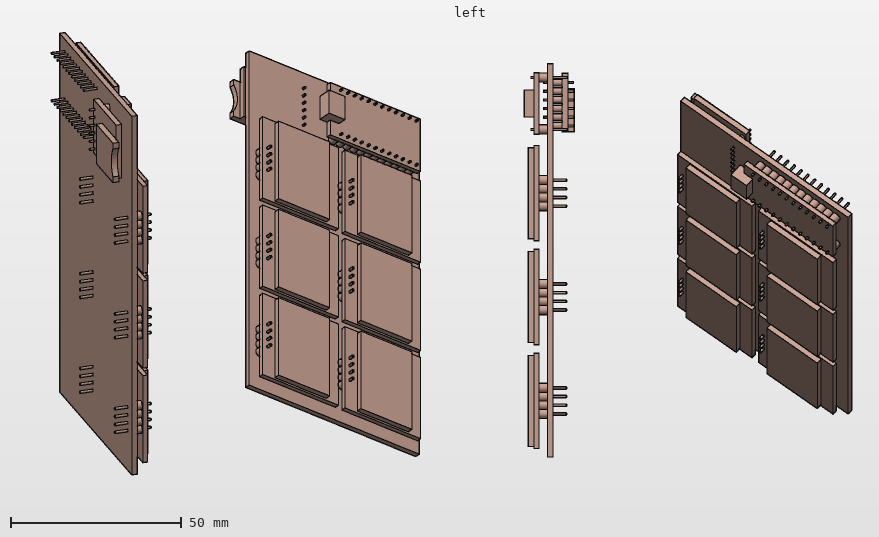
import cadquery as cq

BOARD_WIDTH = 63.0
BOARD_HEIGHT = 115.3
BOARD_THICKNESS = 1.7

PIN_PITCH = 2.5
HEADER_COLLAR_DIAMETER = 2.8
THIN_PIN_DIAMETER = 0.63

REAR_GAP = 2.4
MODULE_THICKNESS = 1.5
MODULE_FRONT = BOARD_THICKNESS + REAR_GAP
MODULE_BACK = MODULE_FRONT + MODULE_THICKNESS
REAR_PIN_REACH = 4.0

DISPLAY_COLUMNS = 2
DISPLAY_ROWS = 3
DISPLAY_PITCH = 12 * PIN_PITCH
DISPLAY_WIDTH = 28.0
DISPLAY_HEIGHT = 28.0
DISPLAY_LEFT = 2.5
DISPLAY_LOWEST_CENTRE = 16.5
GLASS_WIDTH = 18.9
GLASS_HEIGHT = 26.7
GLASS_THICKNESS = 1.7
DISPLAY_PIN_COUNT = 4
DISPLAY_PIN_DIAMETER = 0.8
DISPLAY_PIN_INSET = 1.8
DISPLAY_PIN_TAIL = 1.7
DISPLAY_PIN_CHAMFER = 0.2

CONTROLLER_LEFT = 2.7
CONTROLLER_WIDTH = 33.3
CONTROLLER_HEIGHT = 18.1
CONTROLLER_CENTRE_Z = 103.7
CONTROLLER_PIN_COUNT = 12
CONTROLLER_FIRST_PIN_X = 4.4
CONTROLLER_ROW_SPACING = 6 * PIN_PITCH
CONTROLLER_PIN_TAIL = 0.9
USB_LEFT = 32.7
USB_LENGTH = 5.9
USB_WIDTH = 8.0
USB_RISE = 2.9

READER_LEFT = 42.0
READER_WIDTH = 19.6
READER_BOTTOM = 95.4
READER_HEIGHT = 17.2
READER_THICKNESS = 1.7
READER_GAP = 2.7
READER_BACK = -READER_GAP
READER_FRONT = READER_BACK - READER_THICKNESS
READER_COLLAR_DIAMETER = 2.1
READER_PIN_COUNT = 6
READER_PIN_X = READER_LEFT + READER_COLLAR_DIAMETER / 2
READER_TOP_PIN_Z = 109.8
READER_PIN_TAIL = 1.6
READER_PIN_REACH = 1.0
SOCKET_LEFT = 49.6
SOCKET_RIGHT = 64.0
SOCKET_HEIGHT = 12.7
SOCKET_THICKNESS = 1.8
NOTCH_WIDTH = 9.0
NOTCH_DEPTH = 1.4


def slab(x_min, x_max, y_min, y_max, z_min, z_max):
    """Rectangular block between the given limits."""
    block = cq.Workplane("XY").box(x_max - x_min, y_max - y_min, z_max - z_min, centered=False)
    return block.translate((x_min, y_min, z_min))


def rods(points, diameter, y_min, y_max):
    """Separate round rods along Y, one at each (x, z) point."""
    return [
        cq.Workplane("XZ", origin=(x, y_min, z)).circle(diameter / 2).extrude(y_min - y_max)
        for x, z in points
    ]


def join(body, pieces):
    """Fuse every piece into the body."""
    for piece in pieces:
        body = body.union(piece)
    return body


def display_origins():
    """Left edge and centre height of every display."""
    return [
        (DISPLAY_LEFT + column * DISPLAY_PITCH, DISPLAY_LOWEST_CENTRE + row * DISPLAY_PITCH)
        for row in range(DISPLAY_ROWS)
        for column in range(DISPLAY_COLUMNS)
    ]


def display_pin_points(left, centre_z):
    """(x, z) of the four pins of one display, centred on its height."""
    pin_x = left + DISPLAY_WIDTH - DISPLAY_PIN_INSET
    middle = (DISPLAY_PIN_COUNT - 1) / 2
    return [(pin_x, centre_z + (i - middle) * PIN_PITCH) for i in range(DISPLAY_PIN_COUNT)]


def controller_pin_points():
    """(x, z) of the pins in the controller's lower and upper rows."""
    return [
        (CONTROLLER_FIRST_PIN_X + i * PIN_PITCH, CONTROLLER_CENTRE_Z + side * CONTROLLER_ROW_SPACING / 2)
        for side in (-1, 1)
        for i in range(CONTROLLER_PIN_COUNT)
    ]


def reader_pin_points():
    """(x, z) of the card reader's pins, from the top down."""
    return [(READER_PIN_X, READER_TOP_PIN_Z - i * PIN_PITCH) for i in range(READER_PIN_COUNT)]


def make_main_board():
    """Plain board with a hole for every pin that passes through it."""
    board = slab(0, BOARD_WIDTH, 0, BOARD_THICKNESS, 0, BOARD_HEIGHT)
    thin_points = controller_pin_points() + reader_pin_points()
    thick_points = [p for origin in display_origins() for p in display_pin_points(*origin)]
    for points, diameter in ((thin_points, THIN_PIN_DIAMETER), (thick_points, DISPLAY_PIN_DIAMETER)):
        for hole in rods(points, diameter, 0, BOARD_THICKNESS):
            board = board.cut(hole)
    return board


def make_display(left, centre_z):
    """Display board with its glass on the rear and its header towards the main board."""
    half_height = DISPLAY_HEIGHT / 2
    body = slab(
        left, left + DISPLAY_WIDTH,
        MODULE_FRONT, MODULE_BACK,
        centre_z - half_height, centre_z + half_height,
    )
    glass_left = left + (DISPLAY_WIDTH - GLASS_WIDTH) / 2
    glass = slab(
        glass_left, glass_left + GLASS_WIDTH,
        MODULE_BACK, MODULE_BACK + GLASS_THICKNESS,
        centre_z - GLASS_HEIGHT / 2, centre_z + GLASS_HEIGHT / 2,
    )
    points = display_pin_points(left, centre_z)
    collars = rods(points, HEADER_COLLAR_DIAMETER, BOARD_THICKNESS, MODULE_FRONT)
    pins = rods(points, DISPLAY_PIN_DIAMETER, -REAR_PIN_REACH, MODULE_BACK + DISPLAY_PIN_TAIL)
    pins = [pin.faces("<Y or >Y").chamfer(DISPLAY_PIN_CHAMFER) for pin in pins]
    return join(join(body.union(glass), collars), pins)


def make_controller():
    """Controller board with its USB socket on the rear and two headers towards the main board."""
    right = CONTROLLER_LEFT + CONTROLLER_WIDTH
    half_height = CONTROLLER_HEIGHT / 2
    body = slab(
        CONTROLLER_LEFT, right, MODULE_FRONT, MODULE_BACK,
        CONTROLLER_CENTRE_Z - half_height, CONTROLLER_CENTRE_Z + half_height,
    )
    usb = slab(
        USB_LEFT, USB_LEFT + USB_LENGTH, MODULE_FRONT, MODULE_BACK + USB_RISE,
        CONTROLLER_CENTRE_Z - USB_WIDTH / 2, CONTROLLER_CENTRE_Z + USB_WIDTH / 2,
    )
    points = controller_pin_points()
    collars = rods(points, HEADER_COLLAR_DIAMETER, BOARD_THICKNESS, MODULE_FRONT)
    pins = rods(points, THIN_PIN_DIAMETER, -REAR_PIN_REACH, MODULE_BACK + CONTROLLER_PIN_TAIL)
    return join(join(body.union(usb), collars), pins)


def make_card_reader():
    """Reader board with its card socket on the front and its header towards the main board."""
    body = slab(
        READER_LEFT, READER_LEFT + READER_WIDTH,
        READER_FRONT, READER_BACK,
        READER_BOTTOM, READER_BOTTOM + READER_HEIGHT,
    )
    centre_z = READER_BOTTOM + SOCKET_HEIGHT / 2
    socket = (
        cq.Workplane("XZ", origin=(0, READER_FRONT, 0))
        .moveTo(SOCKET_LEFT, READER_BOTTOM)
        .lineTo(SOCKET_RIGHT, READER_BOTTOM)
        .lineTo(SOCKET_RIGHT, centre_z - NOTCH_WIDTH / 2)
        .threePointArc((SOCKET_RIGHT - NOTCH_DEPTH, centre_z), (SOCKET_RIGHT, centre_z + NOTCH_WIDTH / 2))
        .lineTo(SOCKET_RIGHT, READER_BOTTOM + SOCKET_HEIGHT)
        .lineTo(SOCKET_LEFT, READER_BOTTOM + SOCKET_HEIGHT)
        .close()
        .extrude(SOCKET_THICKNESS)
    )
    points = reader_pin_points()
    collars = rods(points, READER_COLLAR_DIAMETER, READER_BACK, 0)
    pins = rods(points, THIN_PIN_DIAMETER, READER_FRONT - READER_PIN_TAIL, BOARD_THICKNESS + READER_PIN_REACH)
    return join(join(body.union(socket), collars), pins)


main_board = make_main_board()
controller = make_controller()
card_reader = make_card_reader()
displays = [make_display(left, centre_z) for left, centre_z in display_origins()]

result = cq.Compound.makeCompound(
    [main_board.val(), controller.val(), card_reader.val(), *[display.val() for display in displays]]
)